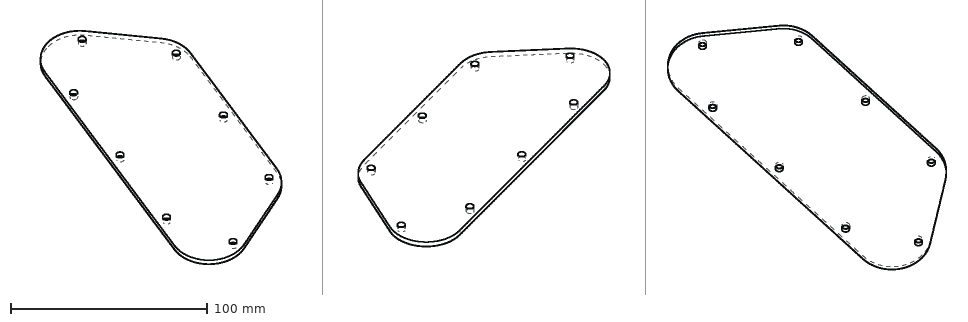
import cadquery as cq
import math

LENGTH = 179.21
WIDTH = 71.78
THICKNESS = 3.0

CORNER_RADIUS = 20.0
SIDE_ANGLE = 54.0

HOLE_DIAMETER = 4.0
HOLE_INSET = 6.0
HOLE_PITCH = 50.0
SIDE_HOLE_RISE = 7.7

lower_center_x = LENGTH / 2 - CORNER_RADIUS
upper_center_y = WIDTH / 2 - CORNER_RADIUS
lower_center_y = -upper_center_y
center_run = (upper_center_y - lower_center_y) / math.tan(math.radians(SIDE_ANGLE))
upper_center_x = lower_center_x - center_run


def make_plate():
    """Extrude the trapezoid and round its four upright corners."""
    half_angle = math.radians(SIDE_ANGLE / 2)
    lower_corner_x = lower_center_x + CORNER_RADIUS / math.tan(half_angle)
    upper_corner_x = upper_center_x + CORNER_RADIUS * math.tan(half_angle)
    corners = [
        (-lower_corner_x, -WIDTH / 2),
        (lower_corner_x, -WIDTH / 2),
        (upper_corner_x, WIDTH / 2),
        (-upper_corner_x, WIDTH / 2),
    ]
    plate = cq.Workplane("XY").polyline(corners).close().extrude(THICKNESS)
    return plate.edges("|Z").fillet(CORNER_RADIUS)


def hole_positions():
    """Centers of the eight holes along the inset outline."""
    row_y = WIDTH / 2 - HOLE_INSET
    inset_radius = CORNER_RADIUS - HOLE_INSET

    upper_offset_x = HOLE_PITCH - upper_center_x
    upper_hole_y = upper_center_y + math.sqrt(inset_radius**2 - upper_offset_x**2)
    side_hole_x = lower_center_x + math.sqrt(inset_radius**2 - SIDE_HOLE_RISE**2)
    side_hole_y = lower_center_y + SIDE_HOLE_RISE

    positions = [(0, row_y), (0, -row_y)]
    for side in (-1, 1):
        positions.append((side * HOLE_PITCH, -row_y))
        positions.append((side * HOLE_PITCH, upper_hole_y))
        positions.append((side * side_hole_x, side_hole_y))
    return positions


def make_holes():
    """Round cutters through the full plate thickness."""
    return cq.Workplane("XY").pushPoints(hole_positions()).circle(HOLE_DIAMETER / 2).extrude(THICKNESS)


result = make_plate().cut(make_holes())